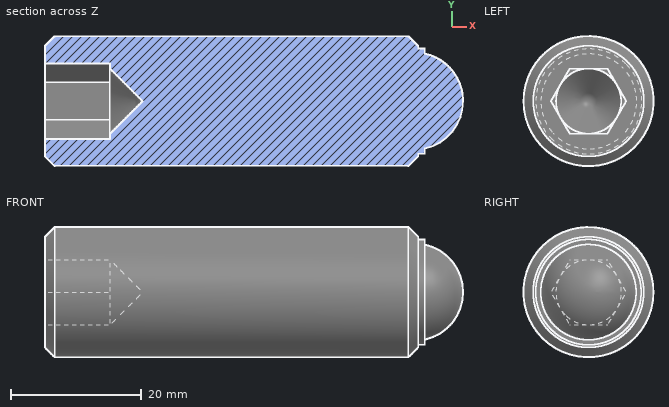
import cadquery as cq
import math

overall_length = 64.2
body_diameter = 20.0
end_chamfer = 1.5
body_length = 57.3
collar_diameter = 16.2
collar_length = 1.0
ball_diameter = 15.0

socket_across_flats = 10.0
socket_depth = 10.0
drill_point_angle = 90.0

body_radius = body_diameter / 2
ball_radius = ball_diameter / 2
ball_center_x = overall_length - ball_radius
collar_end_x = body_length + collar_length
ball_base_radius = math.sqrt(ball_radius**2 - (collar_end_x - ball_center_x) ** 2)
arc_mid_angle = math.atan2(ball_base_radius, collar_end_x - ball_center_x) / 2


def make_screw_blank():
    """Revolve the half profile: chamfered body, narrow collar and ball end."""
    chamfered_radius = body_radius - end_chamfer
    collar_radius = collar_diameter / 2
    arc_middle = (
        ball_center_x + ball_radius * math.cos(arc_mid_angle),
        ball_radius * math.sin(arc_mid_angle),
    )
    profile = (
        cq.Workplane("XY")
        .moveTo(0, 0)
        .lineTo(0, chamfered_radius)
        .lineTo(end_chamfer, body_radius)
        .lineTo(body_length - end_chamfer, body_radius)
        .lineTo(body_length, chamfered_radius)
        .lineTo(body_length, collar_radius)
        .lineTo(collar_end_x, collar_radius)
        .lineTo(collar_end_x, ball_base_radius)
        .threePointArc(arc_middle, (overall_length, 0))
        .close()
    )
    return profile.revolve(360, (0, 0, 0), (1, 0, 0))


def make_socket():
    """Hexagonal prism with corners on the Y axis, ending in a drill point."""
    across_corners = socket_across_flats / math.cos(math.radians(30))
    hexagon = cq.Workplane("YZ").polygon(6, across_corners).extrude(socket_depth)
    drill_radius = socket_across_flats / 2
    point_depth = drill_radius / math.tan(math.radians(drill_point_angle / 2))
    drill_point = (
        cq.Workplane("XY")
        .moveTo(socket_depth, 0)
        .lineTo(socket_depth, drill_radius)
        .lineTo(socket_depth + point_depth, 0)
        .close()
        .revolve(360, (0, 0, 0), (1, 0, 0))
    )
    return hexagon.union(drill_point)


result = make_screw_blank().cut(make_socket())